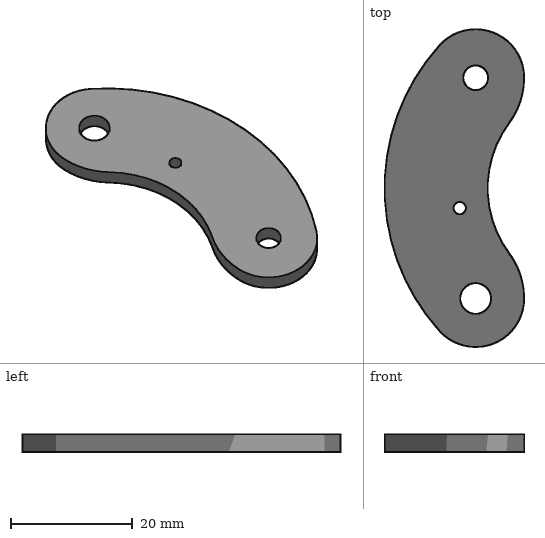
import cadquery as cq
import math

length = 52.25
thickness = 3.0
end_radius = 8.0
outer_radius = 35.0
inner_radius = 18.05
upper_hole_diameter = 4.0
lower_hole_diameter = 5.0
small_hole_diameter = 2.0
small_hole_x = -2.6
small_hole_y = -3.3

end_y = length / 2 - end_radius
arc_center_x = math.sqrt((outer_radius - end_radius) ** 2 - end_y ** 2)
outer_apex = (arc_center_x - outer_radius, 0)
inner_apex = (arc_center_x - inner_radius, 0)

gap = arc_center_x - end_radius
flank_radius = (gap ** 2 + end_y ** 2 - inner_radius ** 2) / (2 * (inner_radius - gap))
flank_center_x = end_radius - flank_radius


def point_on_arc(center_x, center_y, radius, angle):
    return (center_x + radius * math.cos(angle), center_y + radius * math.sin(angle))


def mirrored(point):
    return (point[0], -point[1])


outer_angle = math.atan2(end_y, -arc_center_x)
outer_join = point_on_arc(arc_center_x, 0, outer_radius, outer_angle)
end_middle = point_on_arc(0, end_y, end_radius, outer_angle / 2)
end_side = (end_radius, end_y)
flank_angle = math.atan2(-end_y, arc_center_x - flank_center_x)
flank_middle = point_on_arc(flank_center_x, end_y, flank_radius, flank_angle / 2)
inner_join = point_on_arc(flank_center_x, end_y, flank_radius, flank_angle)

plate = (
    cq.Workplane("XY")
    .moveTo(*outer_join)
    .threePointArc(end_middle, end_side)
    .threePointArc(flank_middle, inner_join)
    .threePointArc(inner_apex, mirrored(inner_join))
    .threePointArc(mirrored(flank_middle), mirrored(end_side))
    .threePointArc(mirrored(end_middle), mirrored(outer_join))
    .threePointArc(outer_apex, outer_join)
    .close()
    .extrude(thickness)
)

holes = [
    (0, end_y, upper_hole_diameter),
    (0, -end_y, lower_hole_diameter),
    (small_hole_x, small_hole_y, small_hole_diameter),
]
for x, y, diameter in holes:
    cutter = cq.Workplane("XY").center(x, y).circle(diameter / 2).extrude(thickness)
    plate = plate.cut(cutter)

result = plate